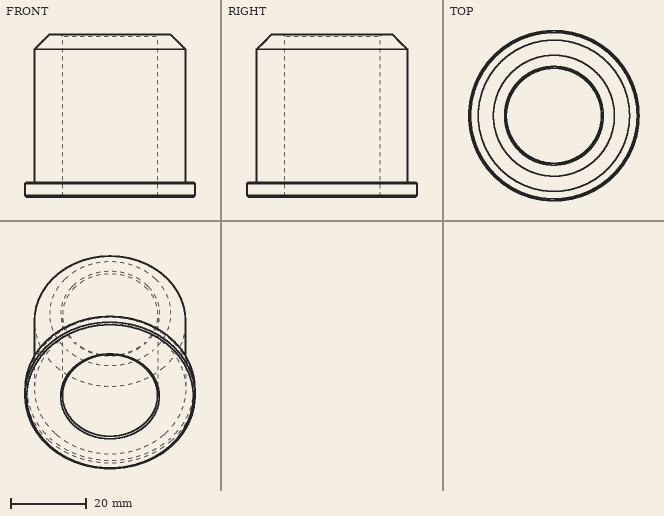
import cadquery as cq

flange_diameter = 45.0
body_diameter = 40.0
bore_diameter = 25.1
total_height = 43.0
flange_thickness = 4.0
nose_chamfer = 4.0
edge_chamfer = 0.5

flange = (
    cq.Workplane("XY")
    .circle(flange_diameter / 2)
    .extrude(flange_thickness)
    .edges()
    .chamfer(edge_chamfer)
)

body = (
    cq.Workplane("XY")
    .circle(body_diameter / 2)
    .extrude(total_height)
    .faces(">Z")
    .edges()
    .chamfer(nose_chamfer)
)

bore = cq.Workplane("XY").circle(bore_diameter / 2).extrude(total_height)
bushing = flange.union(body).cut(bore)
bore_mouths = bushing.edges(cq.selectors.RadiusNthSelector(0))
result = bore_mouths.chamfer(edge_chamfer)